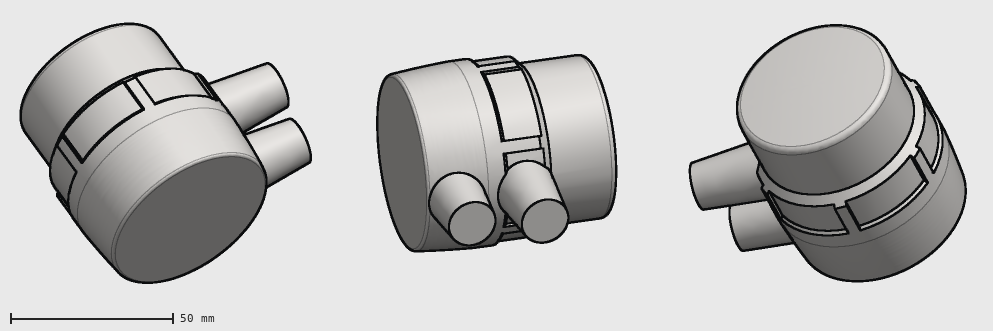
import cadquery as cq
import math

overall_width = 78.1
body_length = 62.85
body_radius = 58.2 / 2
neck_radius = 51.0 / 2
end_radius = 27.55
neck_end = 22.3
crown_start = 43.6
crown_bulge = 0.15
dome_height = 1.1
dome_edge_rounding = 1.95
end_edge_rounding = 0.9

pocket_count = 6
pocket_depth = 1.0
pocket_end = 37.95
rib_width = 3.9

nozzle_tip_radius = 7.5
nozzle_taper = 5.0
nozzle_root_y = 23.4
front_nozzle_x = 31.4
front_nozzle_tip_y = overall_width - body_radius
rear_nozzle_x = 53.4
rear_nozzle_tip_y = 44.2

X_AXIS = ((0, 0, 0), (1, 0, 0))


def make_body():
    """Domed neck, conical shoulder, wide band and crowned rear section."""
    shoulder_end = neck_end + body_radius - neck_radius
    dome_mid = (dome_height / 4, neck_radius / 2)
    crown_mid = (
        (crown_start + body_length) / 2,
        (body_radius + end_radius) / 2 + crown_bulge,
    )
    body = (
        cq.Workplane("XY")
        .moveTo(0, 0)
        .threePointArc(dome_mid, (dome_height, neck_radius))
        .lineTo(neck_end, neck_radius)
        .lineTo(shoulder_end, body_radius)
        .lineTo(crown_start, body_radius)
        .threePointArc(crown_mid, (body_length, end_radius))
        .lineTo(body_length, 0)
        .close()
        .revolve(360, *X_AXIS)
    )
    dome_corner = cq.selectors.NearestToPointSelector((dome_height, 0, 0))
    body = body.edges(dome_corner).fillet(dome_edge_rounding)
    return body.faces(">X").edges().fillet(end_edge_rounding)


def make_pockets():
    """Ring of pockets with a 45 degree rear wall, interrupted by parallel-sided ribs."""
    floor_radius = body_radius - pocket_depth
    clearance = 0.8
    floor_start = neck_end + floor_radius - neck_radius
    ring = (
        cq.Workplane("XY")
        .moveTo(floor_start, floor_radius)
        .lineTo(pocket_end - pocket_depth, floor_radius)
        .lineTo(pocket_end + clearance, body_radius + clearance)
        .lineTo(floor_start, body_radius + clearance)
        .close()
        .revolve(360, *X_AXIS)
    )
    for index in range(pocket_count // 2):
        bar = (
            cq.Workplane("XY")
            .box(2 * body_length, rib_width, 3 * body_radius)
            .rotate(*X_AXIS, index * 360 / pocket_count)
        )
        ring = ring.cut(bar)
    return ring


def make_nozzle(x, tip_y):
    """Solid cone along +Y, narrowing toward its tip."""
    length = tip_y - nozzle_root_y
    root_radius = nozzle_tip_radius + length * math.tan(math.radians(nozzle_taper))
    cone = cq.Solid.makeCone(
        root_radius,
        nozzle_tip_radius,
        length,
        cq.Vector(x, nozzle_root_y, 0),
        cq.Vector(0, 1, 0),
    )
    return cq.Workplane(cone)


result = (
    make_body()
    .cut(make_pockets())
    .union(make_nozzle(front_nozzle_x, front_nozzle_tip_y))
    .union(make_nozzle(rear_nozzle_x, rear_nozzle_tip_y))
)